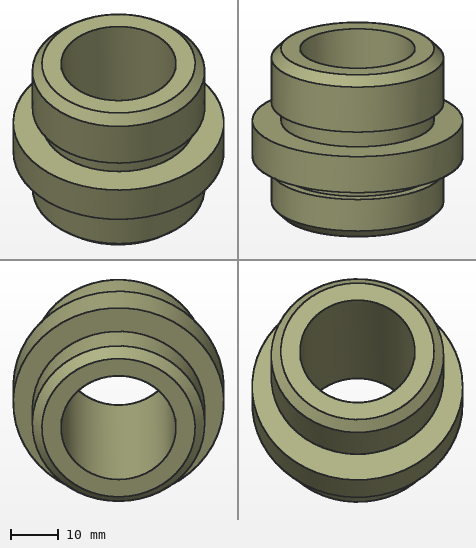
import cadquery as cq

bore_diameter = 24.0
groove_diameter = 32.0
body_diameter = 36.0
flange_diameter = 44.0

lower_body_length = 9.0
lower_groove_width = 3.0
flange_thickness = 8.0
upper_groove_width = 4.0
upper_body_length = 12.0

end_chamfer = 2.0

lower_groove_z = lower_body_length
flange_z = lower_groove_z + lower_groove_width
upper_groove_z = flange_z + flange_thickness
upper_body_z = upper_groove_z + upper_groove_width
total_length = upper_body_z + upper_body_length


def cylinder(diameter, bottom_z, length):
    """Solid cylinder on the Z axis, standing on bottom_z."""
    return cq.Workplane("XY").workplane(offset=bottom_z).circle(diameter / 2).extrude(length)


lower_body = cylinder(body_diameter, 0, lower_body_length).faces("<Z").chamfer(end_chamfer)
upper_body = cylinder(body_diameter, upper_body_z, upper_body_length).faces(">Z").chamfer(end_chamfer)

lower_neck = cylinder(groove_diameter, lower_groove_z, lower_groove_width)
upper_neck = cylinder(groove_diameter, upper_groove_z, upper_groove_width)

flange = cylinder(flange_diameter, flange_z, flange_thickness)

bore = cylinder(bore_diameter, 0, total_length)

result = lower_body.union(lower_neck).union(flange).union(upper_neck).union(upper_body).cut(bore)